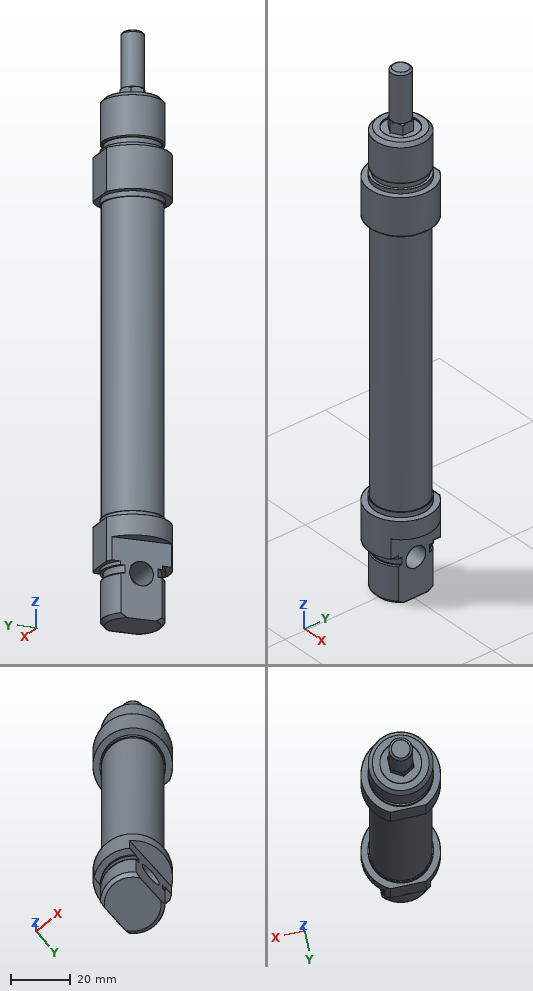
import cadquery as cq
import math

total_length = 211.0

thread_diameter = 22.0
groove_diameter = 20.0
lip_diameter = 22.2
collar_diameter = 27.0
collar_flat_offset = 12.0
thread_chamfer_height = 1.5
thread_chamfer_width = 1.37
groove_chamfer = 0.5
tang_groove_bottom = 15.8
rear_lip_bottom = 18.5
rear_collar_bottom = 19.8
rear_collar_top = 35.5
rear_lip_top = 37.5

tang_thickness = 16.0
shoulder_height = 28.0
pin_hole_diameter = 8.7
pin_hole_height = 16.2

tube_diameter = 21.3
tube_bore = 19.6

front_lip_bottom = 149.4
front_collar_bottom = 151.3
front_collar_top = 167.0
front_lip_top = 168.5
head_thread_bottom = 170.7
head_top = 187.0
recess_diameter = 14.1
recess_depth = 0.6

hex_flats = 8.0
hex_top = 190.7
stud_diameter = 8.0
stud_chamfer = 0.8
hex_corner_chamfer_height = 0.6


def disc(diameter, bottom, top):
    """Cylinder on the Z axis between two heights."""
    base = cq.Workplane("XY").workplane(offset=bottom)
    return base.circle(diameter / 2).extrude(top - bottom)


def hexagon(bottom, top):
    """Hexagonal bar with two flats facing +X and -X."""
    corner_diameter = hex_flats / math.cos(math.pi / 6)
    return (
        cq.Workplane("XY")
        .workplane(offset=bottom)
        .transformed(rotate=(0, 0, 90))
        .polygon(6, corner_diameter)
        .extrude(top - bottom)
    )


def revolve_profile(points):
    """Solid of revolution about Z from (radius, height) points."""
    half_section = cq.Workplane("XZ").polyline(points).close()
    return half_section.revolve(360, (0, 0, 0), (0, 1, 0))


def collar(bottom, top):
    """Round collar with one flat on its +Y side."""
    keep_depth = collar_diameter / 2 + collar_flat_offset
    keep = (
        cq.Workplane("XY")
        .workplane(offset=bottom)
        .center(0, collar_flat_offset - keep_depth / 2)
        .rect(collar_diameter, keep_depth)
        .extrude(top - bottom)
    )
    return disc(collar_diameter, bottom, top).intersect(keep)


def thread(outer_end, inner_end):
    """Threaded barrel, with a long chamfer at its outer end and a small one beside the groove."""
    direction = math.copysign(1, outer_end - inner_end)
    radius = thread_diameter / 2
    return revolve_profile([
        (0, outer_end),
        (radius - thread_chamfer_width, outer_end),
        (radius, outer_end - direction * thread_chamfer_height),
        (radius, inner_end + direction * groove_chamfer),
        (radius - groove_chamfer, inner_end),
        (0, inner_end),
    ])


def make_rear_cap():
    """Rear cover with a flat-sided clevis tang and a cross hole for its pin."""
    cap = (
        thread(0, tang_groove_bottom)
        .union(disc(groove_diameter, tang_groove_bottom, rear_lip_bottom))
        .union(disc(lip_diameter, rear_lip_bottom, rear_collar_bottom))
        .union(collar(rear_collar_bottom, rear_collar_top))
        .union(disc(lip_diameter, rear_collar_top, rear_lip_top))
    )

    side_width = (collar_diameter - tang_thickness) / 2
    side_offset = (tang_thickness + side_width) / 2
    for side in (-1, 1):
        cheek = (
            cq.Workplane("XY")
            .center(side * side_offset, 0)
            .rect(side_width, collar_diameter)
            .extrude(shoulder_height)
        )
        cap = cap.cut(cheek)

    pin_hole = (
        cq.Workplane("YZ")
        .center(0, pin_hole_height)
        .circle(pin_hole_diameter / 2)
        .extrude(tang_thickness, both=True)
    )
    return cap.cut(pin_hole)


def make_tube():
    """Plain barrel between the lips of the two covers."""
    return disc(tube_diameter, rear_lip_top, front_lip_bottom).cut(
        disc(tube_bore, rear_lip_top, front_lip_bottom)
    )


def make_front_head():
    """Front cover with a threaded nose and a hexagonal passage for the rod."""
    head = (
        disc(lip_diameter, front_lip_bottom, front_collar_bottom)
        .union(collar(front_collar_bottom, front_collar_top))
        .union(disc(lip_diameter, front_collar_top, front_lip_top))
        .union(disc(groove_diameter, front_lip_top, head_thread_bottom))
        .union(thread(head_top, head_thread_bottom))
    )
    recess = disc(recess_diameter, head_top - recess_depth, head_top)
    return head.cut(recess).cut(hexagon(front_lip_bottom, head_top))


def make_rod():
    """Hexagonal rod through the front head, its corners chamfered down to the stud."""
    corner_radius = hex_flats / 2 / math.cos(math.pi / 6)
    corner_cone = revolve_profile([
        (0, front_lip_bottom),
        (corner_radius, front_lip_bottom),
        (corner_radius, hex_top - hex_corner_chamfer_height),
        (stud_diameter / 2, hex_top),
        (0, hex_top),
    ])
    stud = disc(stud_diameter, hex_top, total_length).faces(">Z").chamfer(stud_chamfer)
    return hexagon(front_lip_bottom, hex_top).intersect(corner_cone).union(stud)


rear_cap = make_rear_cap()
tube = make_tube()
front_head = make_front_head()
rod = make_rod()

result = cq.Compound.makeCompound([rear_cap.val(), tube.val(), front_head.val(), rod.val()])